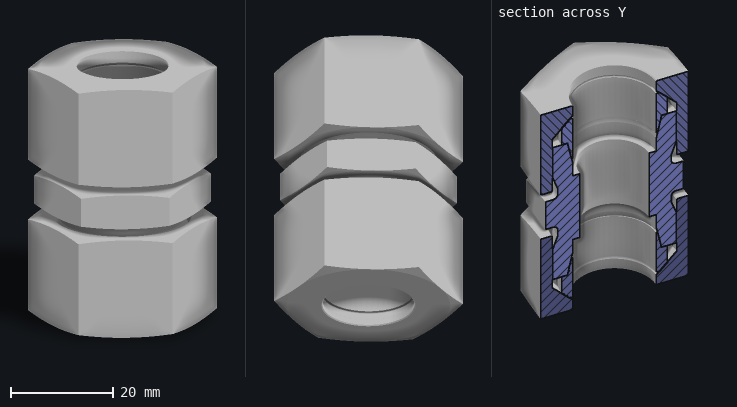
import cadquery as cq
import math


total_length = 51.0
half_length = total_length / 2
tube_diameter = 18.0
tube_radius = tube_diameter / 2
bore_radius = 15.0 / 2
tube_stop_height = 8.0

nut_across_flats = 32.0
body_across_flats = 30.0
body_hex_height = 7.0
corner_chamfer_angle = 15.0

nut_length = 20.05
nut_hole_radius = tube_radius
nut_edge_chamfer = 0.2
nut_hole_depth = 2.55
nut_outer_end = half_length
nut_inner_end = nut_outer_end - nut_length
nut_cone_top = nut_outer_end - nut_hole_depth

neck_radius = 24.7 / 2
neck_fillet = 1.0
neck_end = 5.8
neck_flare_angle = 20.0
spigot_radius = 27.0 / 2
spigot_start = neck_end + (spigot_radius - neck_radius) / math.tan(math.radians(neck_flare_angle))
spigot_end = 16.5
socket_mouth_radius = 20.3 / 2
socket_half_angle = math.radians(12)
socket_bottom = spigot_end - (socket_mouth_radius - tube_radius) / math.tan(socket_half_angle)

ring_collar_radius = 23.0 / 2
ring_gap = 0.6
ring_outer_end = nut_cone_top - ring_gap
ring_inner_end = 12.35
ring_face_radius = nut_hole_radius + ring_gap
ring_shoulder_base = nut_cone_top - (ring_collar_radius - nut_hole_radius)
ring_tip_radius = tube_radius + (ring_inner_end - socket_bottom) * math.tan(socket_half_angle)


def revolve_profile(points):
    """Solid of revolution about Z from (radius, height) points."""
    return cq.Workplane("XZ").polyline(points).close().revolve(360, (0, 0), (0, 1))


def chamfered_hexagon(across_flats, bottom, top):
    """Hexagonal prism with flats facing X and its corners turned off at both ends."""
    corner_radius = across_flats / 2 / math.cos(math.pi / 6)
    flat_radius = across_flats / 2
    corner_drop = (corner_radius - flat_radius) * math.tan(math.radians(corner_chamfer_angle))
    prism = (
        cq.Workplane("XY", origin=(0, 0, bottom))
        .polygon(6, 2 * corner_radius)
        .extrude(top - bottom)
        .rotate((0, 0, 0), (0, 0, 1), 30)
    )
    turned_blank = revolve_profile([
        (0, bottom),
        (flat_radius, bottom),
        (corner_radius, bottom + corner_drop),
        (corner_radius, top - corner_drop),
        (flat_radius, top),
        (0, top),
    ])
    return prism.intersect(turned_blank)


def make_body():
    """Hexagon with a filleted neck and spigot on each side, bored through with two tube sockets."""
    half_hex = body_hex_height / 2
    hexagon = chamfered_hexagon(body_across_flats, -half_hex, half_hex)
    quarter_turn = math.sqrt(0.5)
    fillet_mid = (
        neck_radius + neck_fillet * (1 - quarter_turn),
        half_hex + neck_fillet * (1 - quarter_turn),
    )
    neck_and_spigot = (
        cq.Workplane("XZ")
        .moveTo(0, 0)
        .lineTo(neck_radius + neck_fillet, 0)
        .lineTo(neck_radius + neck_fillet, half_hex)
        .threePointArc(fillet_mid, (neck_radius, half_hex + neck_fillet))
        .lineTo(neck_radius, neck_end)
        .lineTo(spigot_radius, spigot_start)
        .lineTo(spigot_radius, spigot_end)
        .lineTo(0, spigot_end)
        .close()
        .revolve(360, (0, 0), (0, 1))
    )
    socket = revolve_profile([
        (0, 0),
        (bore_radius, 0),
        (bore_radius, tube_stop_height),
        (tube_radius, tube_stop_height),
        (tube_radius, socket_bottom),
        (socket_mouth_radius, spigot_end),
        (0, spigot_end),
    ])
    spigots = neck_and_spigot.union(neck_and_spigot.mirror("XY"))
    return hexagon.union(spigots).cut(socket).cut(socket.mirror("XY"))


def make_nut():
    """Upper union nut: tube hole, 45 degree cone on the ring, and spigot bore."""
    cone_base = nut_cone_top - (spigot_radius - nut_hole_radius)
    cavity = revolve_profile([
        (0, nut_inner_end),
        (spigot_radius + nut_edge_chamfer, nut_inner_end),
        (spigot_radius, nut_inner_end + nut_edge_chamfer),
        (spigot_radius, cone_base),
        (nut_hole_radius, nut_cone_top),
        (nut_hole_radius, nut_outer_end - nut_edge_chamfer),
        (nut_hole_radius + nut_edge_chamfer, nut_outer_end),
        (0, nut_outer_end),
    ])
    return chamfered_hexagon(nut_across_flats, nut_inner_end, nut_outer_end).cut(cavity)


def make_ring():
    """Upper cutting ring: collar with a 45 degree shoulder and a tapered tail in the socket."""
    return revolve_profile([
        (tube_radius, ring_inner_end),
        (ring_tip_radius, ring_inner_end),
        (socket_mouth_radius, spigot_end),
        (ring_collar_radius, spigot_end),
        (ring_collar_radius, ring_shoulder_base),
        (ring_face_radius, ring_outer_end),
        (tube_radius, ring_outer_end),
    ])


def at_both_ends(upper):
    """The upper part and its mirrored copy at the lower end, as separate solids."""
    return [upper.val(), upper.mirror("XY").val()]


body = make_body()
nuts = at_both_ends(make_nut())
rings = at_both_ends(make_ring())

result = cq.Compound.makeCompound([body.val(), *nuts, *rings])